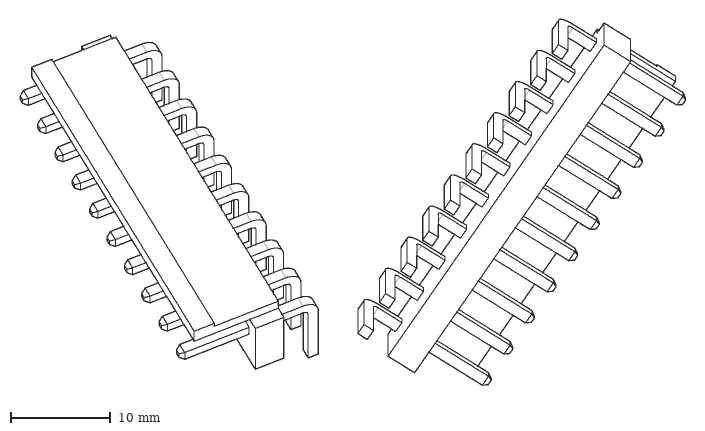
import cadquery as cq


pin_count = 10
pitch = 3.95
housing_length = pin_count * pitch
housing_depth = 3.2
housing_height = 6.8

plate_end_inset = 1.25
plate_length = housing_length - 2 * plate_end_inset
plate_depth = 9.4
plate_thickness = 1.2
lip_depth = 2.25
lip_height = 0.47

pin_size = 1.15
pin_overall_depth = 15.45
leg_setback = 4.55
leg_drop = 3.65
pin_top_gap = 1.45
bend_inner_radius = 0.55
bend_outer_radius = bend_inner_radius + pin_size
tip_length = 0.5
tip_end_size = pin_size / 2

pin_top = housing_height - pin_top_gap
tip_front = leg_setback - pin_overall_depth
tip_base = tip_front + tip_length


def make_housing():
    return cq.Workplane("XY").box(
        housing_length, housing_depth, housing_height, centered=(True, False, False)
    ).translate((0, -housing_depth, 0))


def make_plate():
    plate_top = housing_height + plate_thickness
    lip_top = plate_top + lip_height
    lip_back = lip_depth - plate_depth
    return (
        cq.Workplane("YZ")
        .moveTo(0, housing_height)
        .lineTo(0, plate_top)
        .lineTo(lip_back, plate_top)
        .lineTo(lip_back, lip_top)
        .lineTo(-plate_depth, lip_top)
        .lineTo(-plate_depth, housing_height)
        .close()
        .extrude(plate_length / 2, both=True)
    )


def make_pin():
    """One bent pin with a tapered tip, centred on X = 0."""
    pin_bottom = pin_top - pin_size
    leg_inner = leg_setback - pin_size
    bent_bar = (
        cq.Workplane("YZ")
        .moveTo(tip_base, pin_top)
        .lineTo(leg_setback - bend_outer_radius, pin_top)
        .radiusArc((leg_setback, pin_top - bend_outer_radius), bend_outer_radius)
        .lineTo(leg_setback, -leg_drop)
        .lineTo(leg_inner, -leg_drop)
        .lineTo(leg_inner, pin_bottom - bend_inner_radius)
        .radiusArc((leg_inner - bend_inner_radius, pin_bottom), -bend_inner_radius)
        .lineTo(tip_base, pin_bottom)
        .close()
        .extrude(pin_size / 2, both=True)
    )
    tip = (
        cq.Workplane("XZ", origin=(0, tip_base, pin_top - pin_size / 2))
        .rect(pin_size, pin_size)
        .workplane(offset=tip_length)
        .rect(tip_end_size, tip_end_size)
        .loft(ruled=True)
    )
    return bent_bar.union(tip)


result = make_housing().union(make_plate())
pin = make_pin()
first_pin_x = -pitch * (pin_count - 1) / 2
for index in range(pin_count):
    result = result.union(pin.translate((first_pin_x + index * pitch, 0, 0)))